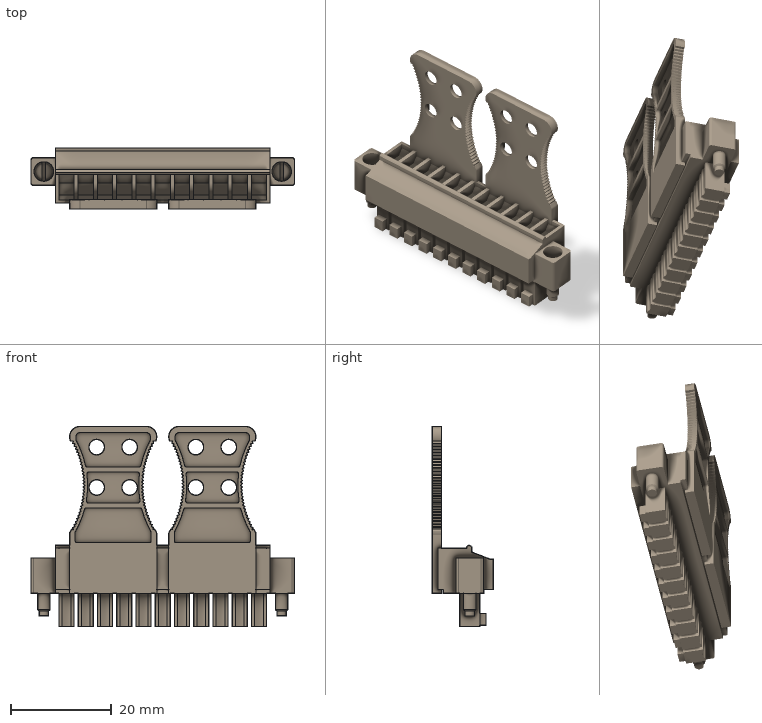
import cadquery as cq
import math


overall_length = 52.3
front_y = -6.3
rear_y = 4.7

housing_length = 42.55
housing_height = 9.0
rear_height = 6.8
rear_ledge = 0.65
lip_back_y = 0.4
lip_back_top = 9.2
lip_back_bulge = 0.04
ridge_y = -0.15
ridge_height = 9.55
lip_front_y = -0.65
lip_front_bulge = 0.145
lip_slope_top = 8.2
base_rear_y = 2.8
base_front_y = -5.3
base_step = 0.8

pole_count = 11
pole_pitch = 3.8
pocket_width = 3.05
pocket_front_y = -5.65
pocket_rear_y = lip_front_y
pocket_floor = 6.65
lead_in_run = 1.6
lead_in_drop = 1.85
floor_ramp_run = 0.95
floor_ramp_rise = 1.3
sleeve_width = 3.05
sleeve_depth = 4.0
sleeve_length = 6.6
groove_width = 1.8
groove_radius = 1.45
key_width = 2.1
key_depth = 1.25
key_top = -3.9
key_bottom = -6.35

flange_depth = 5.55
flange_height = 7.05
flange_fillet = 0.5
screw_x = 23.6
head_radius = 1.95
head_bottom = 1.3
head_top = 3.9
head_round = 0.3
driver_slot_width = 0.65
driver_slot_depth = 0.65
shank_radius = 1.25
shank_bottom = -3.2
tip_radius = 0.95
tip_top = -3.5
tip_bottom = -4.45

tab_x = 9.85
tab_width = 17.3
tab_top = 33.15
tab_front_y = -7.5
tab_thickness = 1.9
tab_back_y = tab_front_y + tab_thickness
half_tab = tab_width / 2
knob_radius = 2.1
waist_z = 21.45
half_waist = 5.95
waist_radius = 17.8
tooth_count = 28
tooth_depth = 0.3
tooth_half_span = 8.65
tooth_half_angle = math.asin(tooth_half_span / waist_radius)
shoulder_fillet = 0.8
panel_depth = 1.05
panel_rim = 0.9
finger_hole_radius = 1.5
finger_hole_spacing = 6.55
finger_hole_heights = (29.05, 21.0)
upper_panel = (25.05, 31.9)
middle_panel = (17.95, 24.1)
lower_panel = (10.1, 17.0)
upper_panel_half_width = 7.4
lower_panel_half_width = 7.55
panel_fillet = 0.45
upper_panel_top_fillet = 0.8
lower_panel_bottom_fillet = 0.3


def box(x_limits, y_limits, z_limits):
    """Box between two limits along each axis."""
    size = [limits[1] - limits[0] for limits in (x_limits, y_limits, z_limits)]
    corner = (x_limits[0], y_limits[0], z_limits[0])
    return cq.Workplane("XY").box(*size, centered=False).translate(corner)


def extrude_along_x(profile, width, middle_x):
    """Extrude a closed YZ profile by a width centred on middle_x."""
    return profile.extrude(width / 2, both=True).translate((middle_x, 0, 0))


def cylinder(radius, bottom, top):
    """Upright cylinder on the screw axis."""
    return cq.Workplane("XY").workplane(offset=bottom).circle(radius).extrude(top - bottom)


def housing_body():
    profile = (
        cq.Workplane("YZ")
        .moveTo(base_front_y, 0)
        .lineTo(base_rear_y, 0)
        .lineTo(base_rear_y, base_step)
        .lineTo(rear_y, base_step)
        .lineTo(rear_y, rear_height)
        .lineTo(rear_y - rear_ledge, rear_height)
        .lineTo(lip_back_y, lip_slope_top)
        .lineTo(lip_back_y, lip_back_top)
        .sagittaArc((ridge_y, ridge_height), -lip_back_bulge)
        .sagittaArc((lip_front_y, housing_height), -lip_front_bulge)
        .lineTo(front_y, housing_height)
        .lineTo(front_y, base_step)
        .lineTo(base_front_y, base_step)
        .close()
    )
    return extrude_along_x(profile, housing_length, 0)


def screw_flanges():
    """One block through the housing whose two ends form the flanges."""
    block = cq.Workplane("XY").rect(overall_length, flange_depth).extrude(flange_height)
    return block.edges("|Z").fillet(flange_fillet)


def wire_pocket(x):
    lead_in_y = pocket_rear_y - lead_in_run
    ramp_y = pocket_front_y + floor_ramp_run
    profile = (
        cq.Workplane("YZ")
        .moveTo(pocket_rear_y, housing_height)
        .lineTo(lead_in_y, housing_height - lead_in_drop)
        .lineTo(lead_in_y, pocket_floor)
        .lineTo(ramp_y, pocket_floor)
        .lineTo(pocket_front_y, pocket_floor + floor_ramp_rise)
        .lineTo(pocket_front_y, housing_height)
        .close()
    )
    return extrude_along_x(profile, pocket_width, x)


def contact_sleeve(x):
    half_width = sleeve_width / 2
    half_depth = sleeve_depth / 2
    groove_offset = math.sqrt(groove_radius**2 - (groove_width / 2) ** 2)
    sleeve = box((-half_width, half_width), (-half_depth, half_depth), (-sleeve_length, 0))
    groove = cylinder(groove_radius, -sleeve_length, 0).translate((0, -half_depth - groove_offset, 0))
    half_key = key_width / 2
    key = box((-half_key, half_key), (half_depth, half_depth + key_depth), (key_bottom, key_top))
    return sleeve.cut(groove).union(key).translate((x, 0, 0))


def tab_recess(x):
    return box((x - half_tab, x + half_tab), (front_y, tab_back_y), (base_step, housing_height))


def make_housing():
    body = housing_body().union(screw_flanges())
    for index in range(pole_count):
        pole_x = (index - (pole_count - 1) / 2) * pole_pitch
        body = body.cut(wire_pocket(pole_x)).union(contact_sleeve(pole_x))
    for side in (-1, 1):
        head_hole = cylinder(head_radius, head_bottom, flange_height)
        shank_hole = cylinder(shank_radius, 0, head_bottom)
        screw_hole = head_hole.union(shank_hole).translate((side * screw_x, 0, 0))
        body = body.cut(screw_hole).cut(tab_recess(side * tab_x))
    return body


def make_screw(x):
    slot_floor = head_top - driver_slot_depth
    profile = (
        cq.Workplane("XZ")
        .moveTo(0, tip_bottom)
        .lineTo(tip_radius, tip_bottom)
        .lineTo(tip_radius, tip_top)
        .lineTo(shank_radius, shank_bottom)
        .lineTo(shank_radius, head_bottom)
        .lineTo(head_radius, head_bottom)
        .lineTo(head_radius, head_top - head_round)
        .radiusArc((head_radius - head_round, head_top), -head_round)
        .lineTo(0, head_top)
        .close()
    )
    half_slot = driver_slot_width / 2
    slot = box((-half_slot, half_slot), (-head_radius, head_radius), (slot_floor, head_top))
    return profile.revolve(360, (0, 0, 0), (0, 1, 0)).cut(slot).translate((x, 0, 0))


def waist_point(radius, angle):
    """Right-hand point of a waist arc; the angle is measured upward from the waist."""
    centre_x = half_waist + waist_radius
    return (centre_x - radius * math.cos(angle), waist_z + radius * math.sin(angle))


def tooth_points():
    """Zigzag up the right-hand side, from the bottom valley to the top valley."""
    points = []
    for step in range(2 * tooth_count + 1):
        angle = tooth_half_angle * (step / tooth_count - 1)
        is_tip = step % 2 == 1
        radius = waist_radius if is_tip else waist_radius + tooth_depth
        points.append(waist_point(radius, angle))
    return points


def tab_plate():
    """Solid tab plate without panels or holes, built as its right half and mirrored."""
    knob_x = half_tab - knob_radius
    knob_z = tab_top - knob_radius
    teeth = tooth_points()
    teeth_top_z = teeth[-1][1]
    knob_end_x = knob_x + math.sqrt(knob_radius**2 - (knob_z - teeth_top_z) ** 2)
    arc_centre_x = half_waist + waist_radius
    shoulder_z = waist_z - math.sqrt(waist_radius**2 - (arc_centre_x - half_tab) ** 2)
    half = (
        cq.Workplane("XZ")
        .lineTo(half_tab, 0)
        .lineTo(half_tab, shoulder_z)
        .lineTo(*waist_point(waist_radius, -tooth_half_angle))
        .polyline(teeth, includeCurrent=True)
        .lineTo(knob_end_x, teeth_top_z)
        .threePointArc((half_tab, knob_z), (knob_x, tab_top))
        .lineTo(0, tab_top)
        .close()
        .extrude(-tab_thickness)
    )
    shoulder_edge = cq.selectors.NearestToPointSelector((half_tab, tab_thickness / 2, shoulder_z))
    half = half.edges(shoulder_edge).fillet(shoulder_fillet)
    return half.union(half.mirror("YZ"))


def sunk_panel(limits, half_width, top_fillet, bottom_fillet):
    """Cutter for a panel whose sides follow the waist."""
    panel = box((-half_width, half_width), (0, panel_depth), limits)
    for side in (-1, 1):
        waist = (
            cq.Workplane("XZ")
            .center(side * (half_waist + waist_radius), waist_z)
            .circle(waist_radius + panel_rim)
            .extrude(-panel_depth)
        )
        panel = panel.cut(waist)
    panel = panel.edges("|Y").edges(">Z").fillet(top_fillet)
    return panel.edges("|Y").edges("<Z").fillet(bottom_fillet)


def finger_hole(x, z):
    return cq.Workplane("XZ").center(x, z).circle(finger_hole_radius).extrude(-tab_thickness)


def make_tab(x):
    tab = tab_plate()
    tab = tab.cut(sunk_panel(upper_panel, upper_panel_half_width, upper_panel_top_fillet, panel_fillet))
    tab = tab.cut(sunk_panel(middle_panel, upper_panel_half_width, panel_fillet, panel_fillet))
    tab = tab.cut(sunk_panel(lower_panel, lower_panel_half_width, panel_fillet, lower_panel_bottom_fillet))
    for z in finger_hole_heights:
        for side in (-1, 1):
            tab = tab.cut(finger_hole(side * finger_hole_spacing / 2, z))
    return tab.translate((x, tab_front_y, 0))


housing = make_housing()
screws = [make_screw(side * screw_x) for side in (-1, 1)]
tabs = [make_tab(side * tab_x) for side in (-1, 1)]

result = cq.Compound.makeCompound(
    [housing.val(), *[screw.val() for screw in screws], *[tab.val() for tab in tabs]]
)